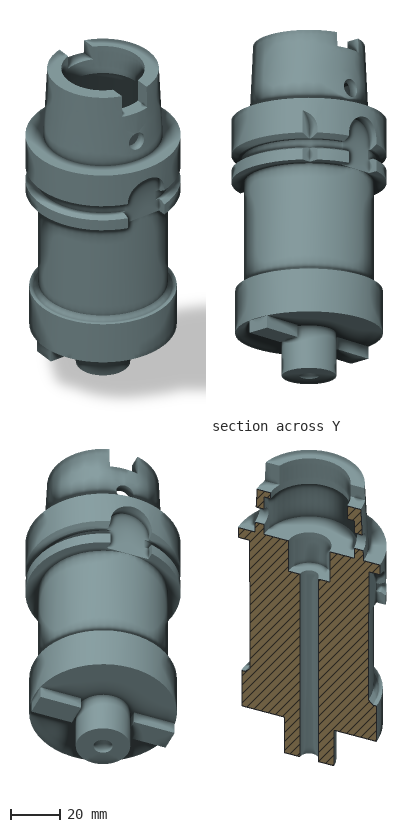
import cadquery as cq

total_height = 140.0
collar_bottom = 18.0
collar_top = 36.3
neck_top = 38.2
flange_bottom = 82.2
groove_lower_edge = 87.0
groove_bottom = 87.9
groove_top = 92.0
groove_upper_edge = 93.7
flange_top = 108.4

spigot_radius = 11.0
collar_radius = 30.0
neck_radius = 28.3
body_radius = 26.3
flange_radius = 31.5
groove_lower_lip_radius = 29.5
groove_upper_lip_radius = 28.8
groove_root_radius = 27.5
shank_base_radius = 24.2
shank_top_radius = 22.7

bore_radius = 17.0
undercut_radius = 19.9
undercut_top = 127.1
bore_floor = flange_top
coolant_pocket_radius = 9.1
coolant_pocket_depth = 15.4
through_hole_radius = 3.9

drive_slot_width = 12.3
shallow_slot_depth = 6.0
deep_slot_depth = 9.7

cross_hole_radius = 3.8
cross_hole_height = 117.2

flange_slot_top = 103.2
flange_slot_floor = 26.5
left_slot_width = 15.8
right_slot_width = 18.0

notch_corner = 20.0
notch_round_radius = 8.4
notch_round_height = 95.8

key_width = 9.8
key_height = 5.2
key_inner = 11.6
key_outer = 29.4


def turned_body():
    profile = [
        (0, 0),
        (spigot_radius, 0),
        (spigot_radius, collar_bottom),
        (collar_radius, collar_bottom),
        (collar_radius, collar_top),
        (neck_radius, collar_top),
        (body_radius, neck_top),
        (body_radius, flange_bottom),
        (flange_radius, flange_bottom),
        (flange_radius, groove_lower_edge),
        (groove_lower_lip_radius, groove_bottom),
        (groove_root_radius, groove_bottom),
        (groove_root_radius, groove_top),
        (groove_upper_lip_radius, groove_top),
        (flange_radius, groove_upper_edge),
        (flange_radius, flange_top),
        (shank_base_radius, flange_top),
        (shank_top_radius, total_height),
        (0, total_height),
    ]
    return cq.Workplane("XZ").polyline(profile).close().revolve(360, (0, 0), (0, 1))


def stepped_bore():
    pocket_floor = bore_floor - coolant_pocket_depth
    profile = [
        (0, 0),
        (through_hole_radius, 0),
        (through_hole_radius, pocket_floor),
        (coolant_pocket_radius, pocket_floor),
        (coolant_pocket_radius, bore_floor),
        (undercut_radius, bore_floor),
        (undercut_radius, undercut_top),
        (bore_radius, undercut_top),
        (bore_radius, total_height),
        (0, total_height),
    ]
    return cq.Workplane("XZ").polyline(profile).close().revolve(360, (0, 0), (0, 1))


def drive_slot(side, depth):
    """Slot through the shank wall on the +X (side=1) or -X (side=-1) side."""
    return (
        cq.Workplane("XY", origin=(side * flange_radius / 2, 0, total_height - depth))
        .box(flange_radius, drive_slot_width, depth, centered=(True, True, False))
    )


def arched_cutter(x_start, length, y_center, half_width, round_height):
    """Round-topped block along X, rising from the flange bottom."""
    return (
        cq.Workplane("YZ", origin=(x_start, 0, 0))
        .moveTo(y_center - half_width, flange_bottom)
        .lineTo(y_center - half_width, round_height)
        .threePointArc(
            (y_center, round_height + half_width),
            (y_center + half_width, round_height),
        )
        .lineTo(y_center + half_width, flange_bottom)
        .close()
        .extrude(length)
    )


def flange_slot(side, width):
    half_width = width / 2
    return arched_cutter(
        side * flange_slot_floor, side * flange_radius, 0, half_width, flange_slot_top - half_width
    )


def corner_notch():
    return arched_cutter(
        -notch_corner, -flange_radius, notch_corner + notch_round_radius,
        notch_round_radius, notch_round_height,
    )


def drive_key(side):
    length = key_outer - key_inner
    y_center = side * (key_inner + key_outer) / 2
    return (
        cq.Workplane("XY", origin=(0, y_center, collar_bottom - key_height))
        .box(key_width, length, key_height, centered=(True, True, False))
    )


cross_hole = (
    cq.Workplane("YZ", origin=(-flange_radius, 0, cross_hole_height))
    .circle(cross_hole_radius)
    .extrude(2 * flange_radius)
)

result = turned_body()
for side in (-1, 1):
    result = result.union(drive_key(side))

result = (
    result.cut(stepped_bore())
    .cut(drive_slot(-1, shallow_slot_depth))
    .cut(drive_slot(1, deep_slot_depth))
    .cut(cross_hole)
    .cut(flange_slot(-1, left_slot_width))
    .cut(flange_slot(1, right_slot_width))
    .cut(corner_notch())
)